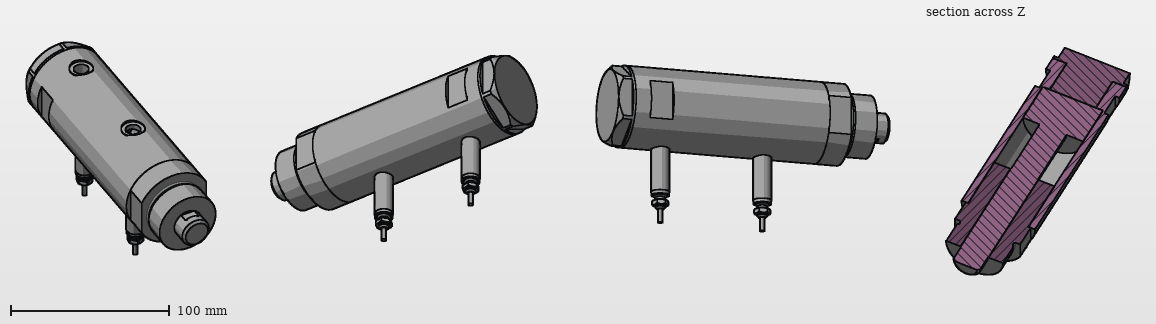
import cadquery as cq
import math


tube_radius = 26.0
half_flats = 23.0
bore_radius = 21.0
rear_bore_radius = 16.0
rod_radius = 9.5

hex_length = 9.0
plug_flange_end = 10.7
bore_step_x = 34.7
gland_start_x = 102.2
tube_end_x = 139.0
gland_flange_end = 154.0
collar_start_x = 157.8
collar_end_x = 172.2
rod_end_x = 184.4

tube_flat_start = 20.8
tube_flat_length = 15.0
port_positions = (30.6, 99.5)
port_radius = 4.8
spotface_radius = 7.5
spotface_depth = 1.5

hex_chamfer = 3.1
hex_turn = 30.0

collar_radius = 20.1
neck_radius = 19.0
neck_fillet = 0.7
collar_chamfer_length = 1.1

piston_length = 27.7
rod_half_flats = 8.3
rod_flat_length = 5.9
rod_chamfer = 1.7

sensor_positions = (35.0, 102.5)
sensor_seat_z = -22.7
sensor_radius = 5.9
sensor_cap_z = -53.5
sensor_cap_step = 0.1
sensor_cap_end_z = -55.7
ring_radius = 4.8
ring_bevel = 0.5
ring_height = 1.5
sensor_neck_radius = 3.0
nut_washer_radius = 3.9
nut_washer_height = 0.5
nut_top_z = -59.4
nut_height = 3.0
nut_corner_radius = 5.3
nut_turn = -10.0
nut_chamfer = 0.5
clamp_radius = 3.3
clamp_height = 1.1
cone_end_radius = 2.2
cone_height = 1.3
cable_radius = 1.5
cable_end_z = -73.4


def rod_along_x(radius, start, end):
    """Solid cylinder on the X axis between two stations."""
    return cq.Workplane("YZ").workplane(offset=start).circle(radius).extrude(end - start)


def flats_band(half_width, start, length):
    """Slab whose two faces normal to Y form a pair of wrench flats."""
    side = 2 * tube_radius
    return cq.Workplane("XY").box(length, 2 * half_width, 2 * side).translate((start + length / 2, 0, 0))


def make_tube():
    tube = rod_along_x(tube_radius, plug_flange_end, tube_end_x)

    flats_zone = rod_along_x(tube_radius, tube_flat_start, tube_flat_start + tube_flat_length)
    tube = tube.cut(flats_zone.cut(flats_band(half_flats, tube_flat_start, tube_flat_length)))

    tube = tube.cut(rod_along_x(rear_bore_radius, plug_flange_end, bore_step_x))
    tube = tube.cut(rod_along_x(bore_radius, bore_step_x, tube_end_x))

    for port_x in port_positions:
        port = cq.Workplane("XY").center(port_x, 0).circle(port_radius).extrude(tube_radius)
        spotface = (
            cq.Workplane("XY").workplane(offset=tube_radius - spotface_depth)
            .center(port_x, 0).circle(spotface_radius).extrude(tube_radius)
        )
        tube = tube.cut(port).cut(spotface)

    for sensor_x in sensor_positions:
        seat = (
            cq.Workplane("XY").workplane(offset=sensor_seat_z)
            .center(sensor_x, 0).circle(sensor_radius).extrude(-tube_radius)
        )
        tube = tube.cut(seat)
    return tube


def make_hex_plug():
    hexagon = (
        cq.Workplane("YZ").polygon(6, 2 * half_flats / math.cos(math.pi / 6)).extrude(hex_length)
        .rotate((0, 0, 0), (1, 0, 0), hex_turn)
    )
    rounded_blank = rod_along_x(tube_radius, 0, hex_length).faces("<X").chamfer(hex_chamfer)
    flange = rod_along_x(tube_radius, hex_length, plug_flange_end)
    spigot = rod_along_x(rear_bore_radius, plug_flange_end, bore_step_x)
    return hexagon.intersect(rounded_blank).union(flange).union(spigot)


def make_gland():
    chamfer_start_x = collar_start_x - collar_chamfer_length
    fillet_top_radius = neck_radius + neck_fillet
    fillet_middle = neck_fillet * (1 - math.sqrt(0.5))
    front = (
        cq.Workplane("XY")
        .moveTo(tube_end_x, 0)
        .lineTo(tube_end_x, tube_radius)
        .lineTo(gland_flange_end, tube_radius)
        .lineTo(gland_flange_end, fillet_top_radius)
        .threePointArc(
            (gland_flange_end + fillet_middle, neck_radius + fillet_middle),
            (gland_flange_end + neck_fillet, neck_radius),
        )
        .lineTo(chamfer_start_x - neck_fillet, neck_radius)
        .threePointArc(
            (chamfer_start_x - fillet_middle, neck_radius + fillet_middle),
            (chamfer_start_x, fillet_top_radius),
        )
        .lineTo(collar_start_x, collar_radius)
        .lineTo(collar_end_x, collar_radius)
        .lineTo(collar_end_x, 0)
        .close()
        .revolve(360, (0, 0, 0), (1, 0, 0))
    )
    front = front.intersect(flats_band(half_flats, tube_end_x, collar_end_x - tube_end_x))
    nose = rod_along_x(bore_radius, gland_start_x, tube_end_x)
    rod_hole = rod_along_x(rod_radius, gland_start_x, collar_end_x)
    return front.union(nose).cut(rod_hole)


def make_piston_rod():
    piston_end_x = bore_step_x + piston_length
    piston = rod_along_x(bore_radius, bore_step_x, piston_end_x)
    rod = rod_along_x(rod_radius, piston_end_x, rod_end_x).faces(">X").chamfer(rod_chamfer)

    flat_zone = rod_along_x(rod_radius, collar_end_x, collar_end_x + rod_flat_length)
    band = flats_band(rod_half_flats, collar_end_x, rod_flat_length).rotate((0, 0, 0), (1, 0, 0), 90)
    return piston.union(rod.cut(flat_zone.cut(band)))


def make_sensor(sensor_x):
    nut_bottom_z = nut_top_z - nut_height
    clamp_end_z = nut_bottom_z - clamp_height
    cone_end_z = clamp_end_z - cone_height
    cap_radius = sensor_radius - sensor_cap_step
    ring_end_z = sensor_cap_end_z - ring_height
    turned = (
        cq.Workplane("XZ")
        .moveTo(0, sensor_seat_z)
        .lineTo(sensor_radius, sensor_seat_z)
        .lineTo(sensor_radius, sensor_cap_z)
        .lineTo(cap_radius, sensor_cap_z)
        .lineTo(cap_radius, sensor_cap_end_z)
        .lineTo(ring_radius - ring_bevel, sensor_cap_end_z)
        .lineTo(ring_radius, sensor_cap_end_z - ring_bevel)
        .lineTo(sensor_neck_radius, ring_end_z)
        .lineTo(sensor_neck_radius, nut_top_z + nut_washer_height)
        .lineTo(nut_washer_radius, nut_top_z + nut_washer_height)
        .lineTo(nut_washer_radius, nut_top_z)
        .lineTo(clamp_radius, nut_bottom_z)
        .lineTo(clamp_radius, clamp_end_z)
        .lineTo(cone_end_radius, cone_end_z)
        .lineTo(cable_radius, cone_end_z)
        .lineTo(cable_radius, cable_end_z)
        .lineTo(0, cable_end_z)
        .close()
        .revolve(360, (0, 0, 0), (0, 1, 0))
    )
    nut_blank = (
        cq.Workplane("XY").workplane(offset=nut_bottom_z).circle(nut_corner_radius)
        .extrude(nut_height).edges().chamfer(nut_chamfer)
    )
    nut = (
        cq.Workplane("XY").workplane(offset=nut_bottom_z).polygon(6, 2 * nut_corner_radius)
        .extrude(nut_height).rotate((0, 0, 0), (0, 0, 1), nut_turn).intersect(nut_blank)
    )
    return turned.union(nut).translate((sensor_x, 0, 0))


tube = make_tube()
hex_plug = make_hex_plug()
gland = make_gland()
piston_rod = make_piston_rod()
sensors = [make_sensor(sensor_x) for sensor_x in sensor_positions]

result = cq.Compound.makeCompound([
    tube.val(),
    hex_plug.val(),
    gland.val(),
    piston_rod.val(),
    *[sensor.val() for sensor in sensors],
])